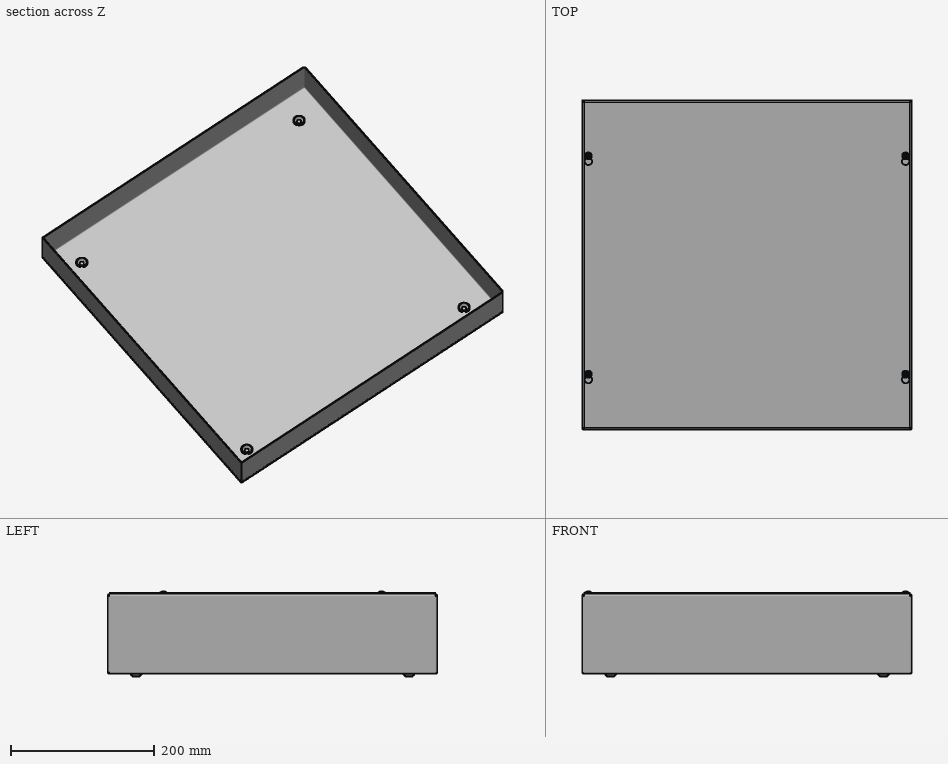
import cadquery as cq
import math

width = 460.38
overall_height = 119.18

sheet = 1.52
bend_radius = 3.05
lip_width = 16.5
miter_gap = 0.5
cover_inset = 2.6

foot_height = 3.8
foot_base_dia = 16.5
foot_tip_dia = 9.0
foot_pitch = 381.0

head_dia = 9.75
head_height = 2.1
crown_dia = 2.4
drive_width = 1.2
drive_span = 5.8
drive_depth = 1.2
shank_dia = 4.17
shank_length = 9.5
screw_pitch_x = 443.0
screw_pitch_y = 304.8
keyhole_slot_width = 5.8
keyhole_entry_dia = 10.3
keyhole_length = 7.6

box_height = overall_height - foot_height - sheet - head_height
cover_top = box_height + sheet
inner_width = width - 2 * sheet
inner_radius = bend_radius - sheet
opening = width - 2 * lip_width


def grid(pitch_x, pitch_y):
    """Centres of the four features set in a rectangle about the box axis."""
    return [(sx * pitch_x / 2, sy * pitch_y / 2) for sx in (-1, 1) for sy in (-1, 1)]


def bent_block(size, bottom, height, radius):
    """Square block rounded at floor, lip and front corners; rear corners stay sharp."""
    block = cq.Workplane("XY").workplane(offset=bottom).rect(size, size).extrude(height)
    block = block.edges("|Z and <Y").fillet(radius)
    return block.faces("<Z or >Z").edges().fillet(radius)


def make_foot_cones(base_dia, tip_dia, base_z):
    """Four downward cones that start at base_z."""
    taper = math.degrees(math.atan((base_dia - tip_dia) / 2 / foot_height))
    return (
        cq.Workplane("XY").workplane(offset=base_z)
        .pushPoints(grid(foot_pitch, foot_pitch))
        .circle(base_dia / 2).extrude(-foot_height, taper=taper)
    )


def make_miters():
    """Thin diagonal cutters that part the lips at the four corners."""
    diagonal = width * math.sqrt(2)
    slit = (
        cq.Workplane("XY").workplane(offset=box_height - bend_radius)
        .rect(diagonal, miter_gap).extrude(bend_radius)
    )
    axis_start, axis_end = (0, 0, 0), (0, 0, 1)
    return slit.rotate(axis_start, axis_end, 45).union(slit.rotate(axis_start, axis_end, -45))


def make_box():
    """Folded tray with an inward lip, embossed feet and screw holes in the lip."""
    box = bent_block(width, 0, box_height, bend_radius)
    box = box.cut(bent_block(inner_width, sheet, box_height - 2 * sheet, inner_radius))
    mouth = (
        cq.Workplane("XY").workplane(offset=box_height - sheet)
        .rect(opening, opening).extrude(sheet)
    )
    screw_holes = (
        cq.Workplane("XY").workplane(offset=box_height - sheet)
        .pushPoints(grid(screw_pitch_x, screw_pitch_y))
        .circle(shank_dia / 2).extrude(sheet)
    )
    feet = make_foot_cones(foot_base_dia, foot_tip_dia, 0)
    dimples = make_foot_cones(foot_base_dia - 2 * sheet, foot_tip_dia - 2 * sheet, sheet)
    return box.union(feet).cut(mouth).cut(screw_holes).cut(dimples).cut(make_miters())


def make_cover():
    """Flat plate with four keyholes whose entry holes lie toward -Y."""
    size = width - 2 * cover_inset
    cover = cq.Workplane("XY").workplane(offset=box_height).rect(size, size).extrude(sheet)
    for x, y in grid(screw_pitch_x, screw_pitch_y):
        plane = cq.Workplane("XY", origin=(x, y, box_height))
        entry = plane.center(0, -keyhole_length).circle(keyhole_entry_dia / 2).extrude(sheet)
        slot = (
            plane.center(0, -keyhole_length / 2)
            .slot2D(keyhole_length + keyhole_slot_width, keyhole_slot_width, 90).extrude(sheet)
        )
        cover = cover.cut(entry).cut(slot)
    return cover


def make_screw(x, y):
    """Cross-recess screw with a domed head seated on the cover."""
    head_radius = head_dia / 2
    crown_radius = crown_dia / 2
    sphere_z = (head_height ** 2 + crown_radius ** 2 - head_radius ** 2) / (2 * head_height)
    sphere_radius = math.hypot(head_radius, sphere_z)
    mid_radius = (head_radius + crown_radius) / 2
    mid_z = sphere_z + math.sqrt(sphere_radius ** 2 - mid_radius ** 2)
    head = (
        cq.Workplane("XZ")
        .moveTo(0, 0)
        .lineTo(head_radius, 0)
        .threePointArc((mid_radius, mid_z), (crown_radius, head_height))
        .lineTo(0, head_height)
        .close()
        .revolve(360, (0, 0, 0), (0, 1, 0))
    )
    recess_floor = cq.Workplane("XY").workplane(offset=head_height - drive_depth)
    for span_x, span_y in ((drive_span, drive_width), (drive_width, drive_span)):
        head = head.cut(recess_floor.rect(span_x, span_y).extrude(drive_depth))
    shank = cq.Workplane("XY").circle(shank_dia / 2).extrude(-shank_length)
    return head.union(shank).translate((x, y, cover_top))


box = make_box()
cover = make_cover()
screws = [make_screw(x, y) for x, y in grid(screw_pitch_x, screw_pitch_y)]

result = cq.Compound.makeCompound([box.val(), cover.val(), *[screw.val() for screw in screws]])